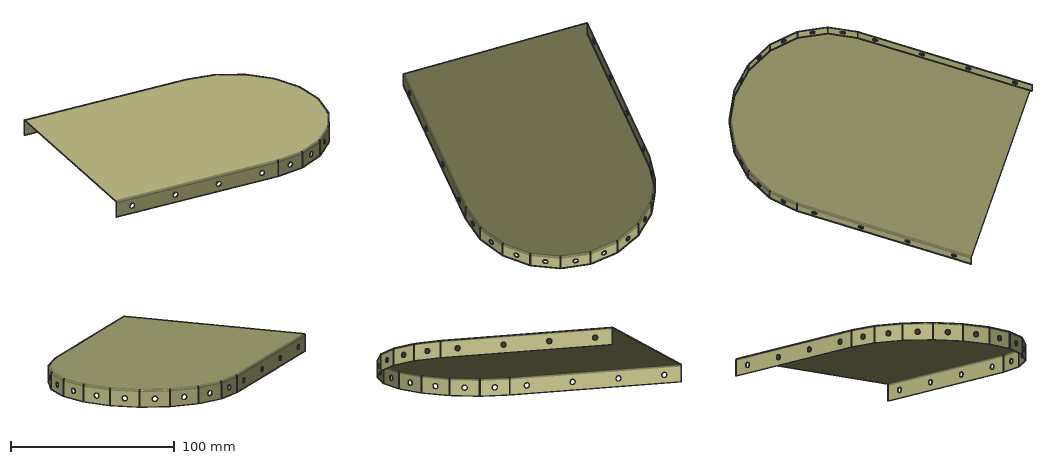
import cadquery as cq
import math

length = 172.0
width = 120.0
height = 11.0

sheet_thickness = 0.5
bend_radius = 1.0
facet_count = 10
corner_setback = 0.09
plate_underside = height - sheet_thickness

hole_diameter = 3.3
hole_height = 5.2
side_hole_count = 4
side_hole_pitch = 30.0

plate_radius = width / 2 - bend_radius
facet_angle = math.pi / facet_count
half_facet = facet_angle / 2
arch_reach = plate_radius + bend_radius * math.cos(half_facet) - corner_setback * math.sin(half_facet)
straight_length = length - arch_reach


def arch_corner(index):
    """Corner of the flat plate on the rounded end, counted from the +X side."""
    angle = index * facet_angle
    return (plate_radius * math.cos(angle), straight_length + plate_radius * math.sin(angle))


def make_plate(corners):
    """Flat top plate inside the bend lines."""
    return (
        cq.Workplane("XY")
        .workplane(offset=plate_underside)
        .polyline(corners)
        .close()
        .extrude(sheet_thickness)
    )


def make_flange(start, end, start_setback, end_setback, hole_offsets):
    """Bend and flange along one plate edge, with holes placed from the middle of that edge."""
    run_x = end[0] - start[0]
    run_y = end[1] - start[1]
    edge_length = math.hypot(run_x, run_y)
    outward = (run_y, -run_x, 0)
    section_plane = cq.Plane(origin=(end[0], end[1], 0), xDir=outward, normal=(-run_x, -run_y, 0))
    inner_radius = bend_radius - sheet_thickness
    bend_height = height - bend_radius
    slant = math.sqrt(0.5)
    flange = (
        cq.Workplane(section_plane)
        .workplane(offset=end_setback)
        .moveTo(0, height)
        .threePointArc((bend_radius * slant, bend_height + bend_radius * slant), (bend_radius, bend_height))
        .lineTo(bend_radius, 0)
        .lineTo(inner_radius, 0)
        .lineTo(inner_radius, bend_height)
        .threePointArc((inner_radius * slant, bend_height + inner_radius * slant), (0, plate_underside))
        .close()
        .extrude(edge_length - start_setback - end_setback)
    )
    middle = ((start[0] + end[0]) / 2, (start[1] + end[1]) / 2, hole_height)
    hole_plane = cq.Plane(origin=middle, xDir=(run_x, run_y, 0), normal=outward)
    holes = (
        cq.Workplane(hole_plane)
        .pushPoints([(offset, 0) for offset in hole_offsets])
        .circle(hole_diameter / 2)
        .extrude(2 * bend_radius)
    )
    return flange.cut(holes)


side_hole_offsets = [(i - (side_hole_count - 1) / 2) * side_hole_pitch for i in range(side_hole_count)]
arch_corners = [arch_corner(i) for i in range(facet_count + 1)]
outline = [(plate_radius, 0)] + arch_corners + [(-plate_radius, 0)]

result = make_plate(outline)
result = result.union(make_flange(outline[0], outline[1], 0, corner_setback, side_hole_offsets))
result = result.union(make_flange(outline[-2], outline[-1], corner_setback, 0, side_hole_offsets))
for start, end in zip(arch_corners, arch_corners[1:]):
    result = result.union(make_flange(start, end, corner_setback, corner_setback, [0]))